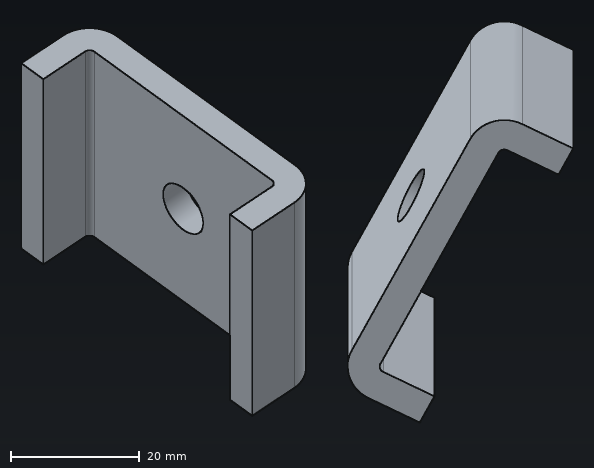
import cadquery as cq

width = 52.0
depth = 15.0
height = 40.0
thickness = 5.0
inner_bend_radius = 1.0
hole_diameter = 9.0

outer_bend_radius = inner_bend_radius + thickness


def rounded_block(block_width, block_depth, back_y, back_edge_radius):
    """Upright block reaching forward (-Y) from back_y, with its two rear vertical edges rounded."""
    block = cq.Workplane("XY").box(block_width, block_depth, height)
    block = block.edges("|Z and >Y").fillet(back_edge_radius)
    return block.translate((0, back_y - block_depth / 2, 0))


def make_channel():
    """Web at the rear (+Y) with two flanges bent forward (-Y)."""
    back_y = depth / 2
    outside = rounded_block(width, depth, back_y, outer_bend_radius)
    inside = rounded_block(
        width - 2 * thickness,
        depth - thickness,
        back_y - thickness,
        inner_bend_radius,
    )
    return outside.cut(inside)


def make_web_hole():
    """Cylinder along Y that pierces the centre of the web."""
    return cq.Workplane("XZ").circle(hole_diameter / 2).extrude(depth / 2, both=True)


result = make_channel().cut(make_web_hole())